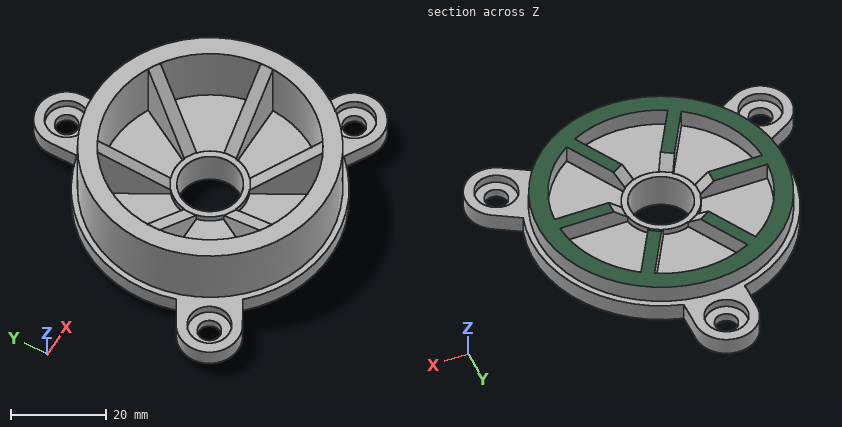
import cadquery as cq

spigot_height = 2.75
flange_thickness = 4.2
total_height = 22.3
floor_top = 7.0
hub_top = 8.5

flange_radius = 29.2
body_radius = 27.9
cavity_radius = 23.7
spigot_radius = 14.0
hub_radius = 8.4
bore_radius = 7.0

ear_count = 3
ear_distance = 34.85
ear_radius = 7.0
screw_hole_radius = 2.5
counterbore_radius = 4.7
counterbore_depth = 2.1

rib_count = 6
rib_thickness = 3.0
wall_overlap = 0.75

flange_top = spigot_height + flange_thickness


def cylinder(radius, bottom, top):
    return cq.Workplane("XY").workplane(offset=bottom).circle(radius).extrude(top - bottom)


def turned(shape, angle):
    return shape.rotate((0, 0, 0), (0, 0, 1), angle)


def make_ear():
    """Round-ended ear pointing along +X, reaching back to the axis."""
    arm = (
        cq.Workplane("XY")
        .workplane(offset=spigot_height)
        .center(ear_distance / 2, 0)
        .rect(ear_distance, 2 * ear_radius)
        .extrude(flange_thickness)
    )
    tip = cylinder(ear_radius, spigot_height, flange_top).translate((ear_distance, 0, 0))
    return arm.union(tip)


def make_ear_hole():
    """Counterbored screw hole for the ear pointing along +X."""
    hole = cylinder(screw_hole_radius, spigot_height, flange_top)
    counterbore = cylinder(counterbore_radius, flange_top - counterbore_depth, flange_top)
    return hole.union(counterbore).translate((ear_distance, 0, 0))


def make_rib():
    """Rib along +X whose top slopes from the wall down to the hub."""
    inner_end = hub_radius - wall_overlap
    outer_end = cavity_radius + wall_overlap
    profile = [
        (inner_end, spigot_height),
        (outer_end, spigot_height),
        (outer_end, total_height),
        (cavity_radius, total_height),
        (hub_radius, hub_top),
        (inner_end, hub_top),
    ]
    return cq.Workplane("XZ").polyline(profile).close().extrude(rib_thickness / 2, both=True)


result = cylinder(flange_radius, spigot_height, flange_top)
result = result.union(cylinder(body_radius, spigot_height, total_height))
result = result.union(cylinder(spigot_radius, 0, flange_top))

ear_angles = [90 + i * 360 / ear_count for i in range(ear_count)]
for angle in ear_angles:
    result = result.union(turned(make_ear(), angle))

result = result.cut(cylinder(cavity_radius, floor_top, total_height))
result = result.union(cylinder(hub_radius, 0, hub_top))

for i in range(rib_count):
    result = result.union(turned(make_rib(), i * 360 / rib_count))

result = result.cut(cylinder(bore_radius, 0, total_height))
for angle in ear_angles:
    result = result.cut(turned(make_ear_hole(), angle))